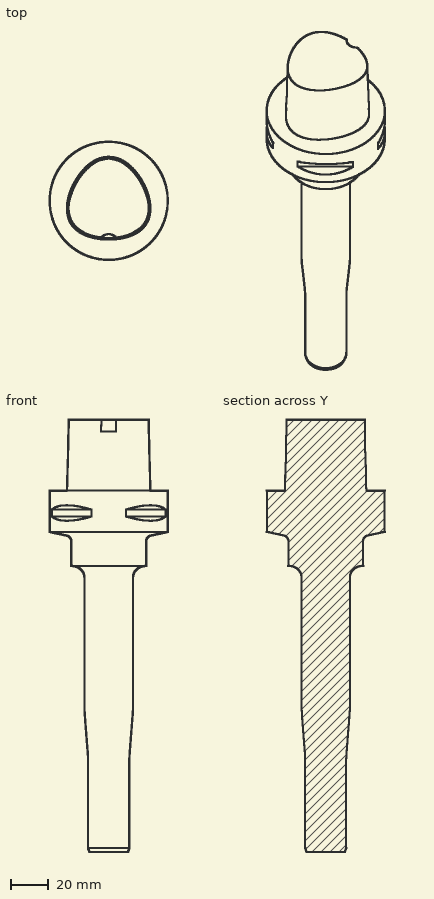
import cadquery as cq
import math

total_height = 230.0
flange_top = 192.3
flange_bottom = 170.2
collar_bottom = 152.3
taper_top = 75.5
taper_bottom = 50.4

flange_radius = 63.0 / 2
collar_radius = 40.0 / 2
shaft_radius = 26.0 / 2
tip_radius = 22.0 / 2

shoulder_angle = math.radians(12)
flange_fillet = 3.0
collar_fillet = 6.0
taper_blend_height = 2.0
tip_chamfer_width = 0.7
tip_chamfer_height = 2.0

shank_mean_radius = 22.0
shank_eccentricity = 1.4
shank_taper = 1 / 40
shank_points = 24

notch_height = 6.5
notch_radius = 5.0
notch_deepest = 17.7

groove_height = 180.3
groove_floor_distance = 27.8
groove_floor_width = 3.7
groove_wall_angle = math.radians(32)
groove_count = 4


def shoulder_to_cylinder(profile, outer_radius, z, inner_radius, fillet):
    """Draw a sloping shoulder ending in a fillet tangent to the smaller cylinder."""
    center_radius = inner_radius + fillet
    start_radius = center_radius - fillet * math.sin(shoulder_angle)
    start_z = z - (outer_radius - start_radius) * math.tan(shoulder_angle)
    center_z = start_z - fillet * math.cos(shoulder_angle)
    middle_angle = (math.pi / 2 - shoulder_angle) / 2
    middle = (
        center_radius - fillet * math.cos(middle_angle),
        center_z + fillet * math.sin(middle_angle),
    )
    return (
        profile.lineTo(outer_radius, z)
        .lineTo(start_radius, start_z)
        .threePointArc(middle, (inner_radius, center_z))
    )


def turned_body():
    slope = (shaft_radius - tip_radius) / (taper_top - taper_bottom)
    blend_shift = slope * taper_blend_height
    blend_top_end = (shaft_radius - blend_shift, taper_top - taper_blend_height)
    blend_bottom_start = (tip_radius + blend_shift, taper_bottom + taper_blend_height)

    profile = cq.Workplane("XZ").moveTo(0, flange_top).lineTo(flange_radius, flange_top)
    profile = shoulder_to_cylinder(profile, flange_radius, flange_bottom, collar_radius, flange_fillet)
    profile = shoulder_to_cylinder(profile, collar_radius, collar_bottom, shaft_radius, collar_fillet)
    profile = (
        profile.lineTo(shaft_radius, taper_top + taper_blend_height)
        .tangentArcPoint(blend_top_end, relative=False)
        .lineTo(*blend_bottom_start)
        .tangentArcPoint((tip_radius, taper_bottom - taper_blend_height), relative=False)
        .lineTo(tip_radius, tip_chamfer_height)
        .lineTo(tip_radius - tip_chamfer_width, 0)
        .lineTo(0, 0)
        .close()
    )
    return profile.revolve(360, (0, 0, 0), (0, 1, 0))


def lobed_outline(mean_radius):
    """Points of a trochoid with one of its three lobes toward +Y."""
    angles = [2 * math.pi * i / shank_points for i in range(shank_points)]
    return [
        (
            mean_radius * math.sin(a) - shank_eccentricity * math.sin(2 * a),
            mean_radius * math.cos(a) + shank_eccentricity * math.cos(2 * a),
        )
        for a in angles
    ]


def shank():
    height = total_height - flange_top
    top_radius = shank_mean_radius - shank_taper * height
    return (
        cq.Workplane("XY", origin=(0, 0, flange_top))
        .spline(lobed_outline(shank_mean_radius), periodic=True)
        .close()
        .workplane(offset=height)
        .spline(lobed_outline(top_radius), periodic=True)
        .close()
        .loft(ruled=True)
    )


def key_notch():
    return (
        cq.Workplane("XY", origin=(0, -notch_deepest - notch_radius, total_height))
        .circle(notch_radius)
        .extrude(-notch_height)
    )


def gripper_groove(angle):
    """Straight groove with flared walls, cut square to the given direction."""
    half_floor = groove_floor_width / 2
    depth = flange_radius - groove_floor_distance
    half_mouth = half_floor + depth * math.tan(groove_wall_angle)
    return (
        cq.Workplane("XZ", origin=(0, 0, groove_height))
        .moveTo(groove_floor_distance, -half_floor)
        .lineTo(flange_radius, -half_mouth)
        .lineTo(flange_radius, half_mouth)
        .lineTo(groove_floor_distance, half_floor)
        .close()
        .extrude(flange_radius, both=True)
        .rotate((0, 0, 0), (0, 0, 1), angle)
    )


result = turned_body().union(shank()).cut(key_notch())
for index in range(groove_count):
    result = result.cut(gripper_groove(45 + index * 360 / groove_count))